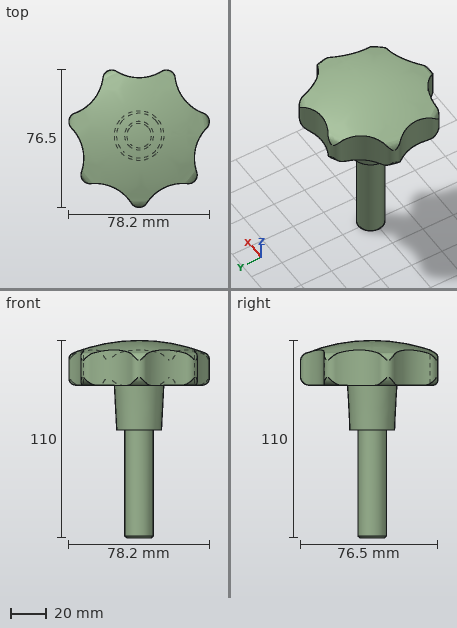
import cadquery as cq
import math

shaft_length = 60.0
hub_height = 25.0
head_height = 25.0

lobe_count = 7
lobe_reach = 40.0
lobe_radius = 5.0
scallop_radius = 24.0
dome_radius = 100.0
rim_fillet = 5.0

hub_bottom_radius = 12.5
hub_draft = math.radians(3)
shaft_radius = 8.0
shaft_chamfer = 1.2

hub_top_radius = hub_bottom_radius + hub_height * math.tan(hub_draft)

lobe_pitch = 2 * math.pi / lobe_count
first_lobe_angle = -math.pi / 2
lobe_center_reach = lobe_reach - lobe_radius

midway_reach = lobe_center_reach * math.cos(lobe_pitch / 2)
half_span = lobe_center_reach * math.sin(lobe_pitch / 2)
center_distance = lobe_radius + scallop_radius
scallop_center_reach = midway_reach + math.sqrt(center_distance**2 - half_span**2)
valley_reach = scallop_center_reach - scallop_radius

head_bottom = hub_height
head_top = head_bottom + head_height


def polar(reach, angle):
    """X and Y of a point at the given distance and direction from the axis."""
    return (reach * math.cos(angle), reach * math.sin(angle))


def tangent_point(lobe_angle, scallop_angle):
    """Point where a lobe tip runs smoothly into a scallop."""
    lobe_x, lobe_y = polar(lobe_center_reach, lobe_angle)
    scallop_x, scallop_y = polar(scallop_center_reach, scallop_angle)
    share = lobe_radius / center_distance
    return (lobe_x + share * (scallop_x - lobe_x), lobe_y + share * (scallop_y - lobe_y))


def make_star_prism():
    """Prism with the lobed outline, as tall as the head."""
    outline = cq.Workplane("XY", origin=(0, 0, head_bottom))
    outline = outline.moveTo(*tangent_point(first_lobe_angle, first_lobe_angle - lobe_pitch / 2))
    for index in range(lobe_count):
        lobe_angle = first_lobe_angle + index * lobe_pitch
        scallop_angle = lobe_angle + lobe_pitch / 2
        lobe_tip = polar(lobe_reach, lobe_angle)
        valley = polar(valley_reach, scallop_angle)
        outline = outline.threePointArc(lobe_tip, tangent_point(lobe_angle, scallop_angle))
        outline = outline.threePointArc(valley, tangent_point(lobe_angle + lobe_pitch, scallop_angle))
    return outline.close().extrude(head_height)


def make_domed_disc():
    """Round disc with a spherical top and a rounded rim."""
    disc = cq.Workplane("XY", origin=(0, 0, head_bottom)).circle(lobe_reach).extrude(head_height)
    dome = cq.Workplane("XY", origin=(0, 0, head_top - dome_radius)).sphere(dome_radius)
    return disc.intersect(dome).edges("%CIRCLE").fillet(rim_fillet)


def make_hub():
    """Hub that widens towards the head."""
    return (
        cq.Workplane("XY")
        .circle(hub_bottom_radius)
        .workplane(offset=hub_height)
        .circle(hub_top_radius)
        .loft()
    )


def make_shaft():
    """Plain shaft with a chamfered free end."""
    return cq.Workplane("XY").circle(shaft_radius).extrude(-shaft_length).faces("<Z").chamfer(shaft_chamfer)


head = make_domed_disc().intersect(make_star_prism())
result = head.union(make_hub()).union(make_shaft())